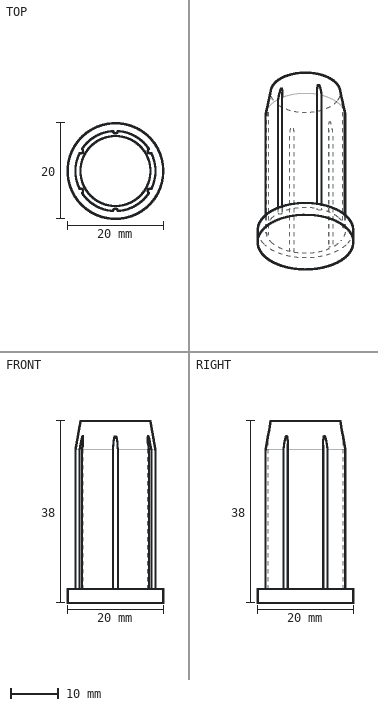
import cadquery as cq

flange_diameter = 20.0
flange_height = 3.0
total_height = 38.0

shank_diameter = 16.7
tip_diameter = 14.6
taper_height = 6.0
taper_start = total_height - taper_height

groove_count = 6
groove_radius = 0.5
groove_first_angle = 90.0


def make_body():
    """Flange, shank and tapered tip as one revolved profile."""
    profile = (
        cq.Workplane("XZ")
        .moveTo(0, 0)
        .lineTo(flange_diameter / 2, 0)
        .lineTo(flange_diameter / 2, flange_height)
        .lineTo(shank_diameter / 2, flange_height)
        .lineTo(shank_diameter / 2, taper_start)
        .lineTo(tip_diameter / 2, total_height)
        .lineTo(0, total_height)
        .close()
    )
    return profile.revolve(360, (0, 0, 0), (0, 1, 0))


def make_grooves():
    """Upright cutters centred on the shank surface, running out through the taper."""
    return (
        cq.Workplane("XY", origin=(0, 0, flange_height))
        .polarArray(shank_diameter / 2, groove_first_angle, 360, groove_count)
        .circle(groove_radius)
        .extrude(total_height - flange_height)
    )


result = make_body().cut(make_grooves())